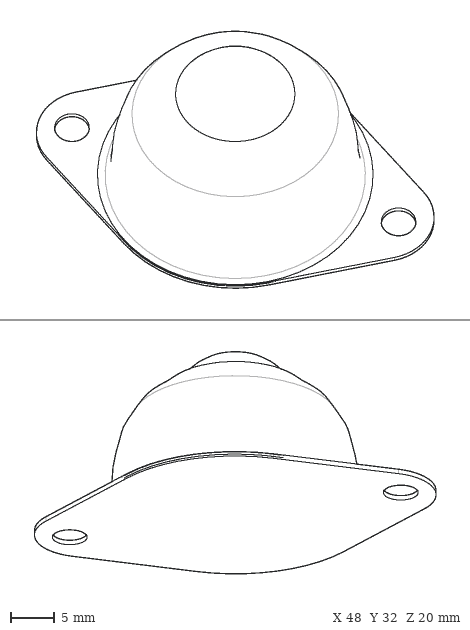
import cadquery as cq
import math

length = 48.0
disc_radius = 16.0
ear_radius = 6.0
hole_diameter = 4.0
hole_spacing = 40.05
plate_thickness = 0.6
flange_thickness = plate_thickness / 2

height = 20.0
ball_radius = 7.9
ball_center_z = height - ball_radius

flange_inset = 0.1
flange_radius = disc_radius - flange_inset
dome_base_radius = 30.0 / 2
lip_radius = 6.8
lip_z = 16.05
shoulder = (11.9, 12.15)
shoulder_direction = (-0.5, 0.87)
wall_points = [(14.5, 1.2), (14.2, 5.05), (13.65, 8.15), (13.2, 9.85)]
crown_points = [(11.0, 13.45), (10.0, 14.15), (8.4, 15.55), (7.6, 16.0)]
inward = (-1, 0)


def make_plate():
    """Two-eared plate with a shallow round recess for the housing flange."""
    ear_center_x = length / 2 - ear_radius
    normal_x = (disc_radius - ear_radius) / ear_center_x
    normal_y = math.sqrt(1 - normal_x**2)
    disc_x = disc_radius * normal_x
    disc_y = disc_radius * normal_y
    ear_x = ear_center_x + ear_radius * normal_x
    ear_y = ear_radius * normal_y
    plate = (
        cq.Workplane("XY")
        .moveTo(-disc_x, disc_y)
        .threePointArc((0, disc_radius), (disc_x, disc_y))
        .lineTo(ear_x, ear_y)
        .threePointArc((length / 2, 0), (ear_x, -ear_y))
        .lineTo(disc_x, -disc_y)
        .threePointArc((0, -disc_radius), (-disc_x, -disc_y))
        .lineTo(-ear_x, -ear_y)
        .threePointArc((-length / 2, 0), (-ear_x, ear_y))
        .close()
        .extrude(plate_thickness)
    )
    recess = (
        cq.Workplane("XY")
        .workplane(offset=plate_thickness - flange_thickness)
        .circle(flange_radius)
        .extrude(flange_thickness)
    )
    holes = (
        cq.Workplane("XY")
        .pushPoints([(-hole_spacing / 2, 0), (hole_spacing / 2, 0)])
        .circle(hole_diameter / 2)
        .extrude(plate_thickness)
    )
    return plate.cut(recess).cut(holes)


def make_ball():
    """Full sphere held in the top of the housing."""
    return cq.Workplane("XY").sphere(ball_radius).translate((0, 0, ball_center_z))


def make_housing(ball):
    """Revolved dome with a thin round flange and a socket around the ball."""
    dome = (
        cq.Workplane("XZ")
        .moveTo(0, plate_thickness - flange_thickness)
        .lineTo(flange_radius, plate_thickness - flange_thickness)
        .lineTo(flange_radius, plate_thickness)
        .lineTo(dome_base_radius, plate_thickness)
        .spline([*wall_points, shoulder], tangents=[inward, shoulder_direction], includeCurrent=True)
        .spline(
            [*crown_points, (lip_radius, lip_z)],
            tangents=[shoulder_direction, inward],
            includeCurrent=True,
        )
        .lineTo(0, lip_z)
        .close()
        .revolve(360, (0, 0), (0, 1))
    )
    return dome.cut(ball)


plate = make_plate()
ball = make_ball()
housing = make_housing(ball)

result = cq.Compound.makeCompound([plate.val(), housing.val(), ball.val()])